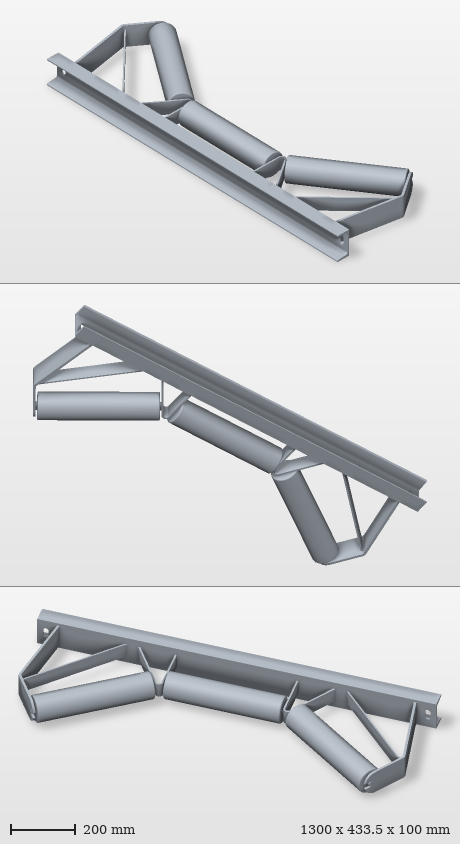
import cadquery as cq
import math


CHANNEL_LENGTH = 1300.0
CHANNEL_HEIGHT = 100.0
CHANNEL_WIDTH = 50.0
WEB_THICKNESS = 6.0
FLANGE_THICKNESS = 8.5
FLANGE_TAPER = 0.08
ROOT_RADIUS = 8.5
TOE_RADIUS = 4.5
MOUNT_SLOT_WIDTH = 18.0
MOUNT_SLOT_HEIGHT = 38.0
MOUNT_SLOT_END_DISTANCE = 28.0

ROLLER_RADIUS = 44.45
ROLLER_LENGTH = 380.0
ROLLER_EDGE_RADIUS = 4.0
AXLE_DEPTH = 28.0
AXLE_WIDTH = 20.0
CENTER_ROLLER_Y = 115.4
TROUGH_ANGLE = 35.0
WING_ROLLER_X = 391.8
WING_ROLLER_TOP = 383.49

OUTER_PLATE_THICKNESS = 8.0
INNER_PLATE_THICKNESS = 6.0
OUTER_PLATE_HEIGHT = 82.0
INNER_PLATE_HEIGHT = 50.0
ROLLER_GAP = 5.0
RIDGE_INNER_RADIUS = 9.0
OUTER_BEND_INNER_RADIUS = 8.0
OUTER_FOOT_X = 585.0
OUTER_LEG_ANGLE = 10.0
TIP_CENTER_DROP = 10.0

STRUT_THICKNESS = 5.0
STRUT_HEIGHT = 50.0
STRUT_FOOT_X = 358.0
STRUT_ANGLE = 45.0

SIDES = (-1, 1)
COS_TROUGH = math.cos(math.radians(TROUGH_ANGLE))
SIN_TROUGH = math.sin(math.radians(TROUGH_ANGLE))
LEG_SLOPE = math.tan(math.radians(OUTER_LEG_ANGLE))
PLATE_NEAR = ROLLER_LENGTH / 2 + ROLLER_GAP
INNER_PLATE_FAR = PLATE_NEAR + INNER_PLATE_THICKNESS
OUTER_PLATE_FAR = PLATE_NEAR + OUTER_PLATE_THICKNESS
RIM_ALONG = ROLLER_LENGTH / 2 - ROLLER_EDGE_RADIUS
RIM_ACROSS = ROLLER_RADIUS - ROLLER_EDGE_RADIUS
WING_ROLLER_Y = WING_ROLLER_TOP - ROLLER_EDGE_RADIUS - RIM_ALONG * SIN_TROUGH - RIM_ACROSS * COS_TROUGH


def wing_point(along, across):
    """XY point given along the +X wing roller axis (outward) and square to it (upward)."""
    x = WING_ROLLER_X + along * COS_TROUGH - across * SIN_TROUGH
    y = WING_ROLLER_Y + along * SIN_TROUGH + across * COS_TROUGH
    return x, y


def plate_x(along, y):
    """X at height y on the plane square to the +X wing roller axis at distance along."""
    x_on_axis, y_on_axis = wing_point(along, 0)
    return x_on_axis - (y - y_on_axis) * SIN_TROUGH / COS_TROUGH


def plate_y(along, x):
    """Height at position x on the same plane."""
    x_on_axis, y_on_axis = wing_point(along, 0)
    return y_on_axis - (x - x_on_axis) * COS_TROUGH / SIN_TROUGH


def place_on_wing(shape):
    """Move a shape built about the origin along X onto the +X wing roller axis."""
    return shape.rotate((0, 0, 0), (0, 0, 1), TROUGH_ANGLE).translate((WING_ROLLER_X, WING_ROLLER_Y, 0))


def place_on_center(shape):
    return shape.translate((0, CENTER_ROLLER_Y, 0))


def on_side(shape, side):
    """Copy of a +X side shape, mirrored when side is -1."""
    return shape if side > 0 else shape.mirror("YZ")


def round_edge(body, point, radius):
    """Fillet the Z-parallel edge that passes through an XY point."""
    return body.edges(cq.selectors.NearestToPointSelector((*point, 0))).fillet(radius)


def make_channel():
    half_height = CHANNEL_HEIGHT / 2
    taper_rise = FLANGE_TAPER * CHANNEL_WIDTH / 2
    toe_z = half_height - FLANGE_THICKNESS + taper_rise
    root_z = half_height - FLANGE_THICKNESS - taper_rise + FLANGE_TAPER * WEB_THICKNESS
    section = [
        (0, -half_height),
        (0, half_height),
        (-CHANNEL_WIDTH, half_height),
        (-CHANNEL_WIDTH, toe_z),
        (-WEB_THICKNESS, root_z),
        (-WEB_THICKNESS, -root_z),
        (-CHANNEL_WIDTH, -toe_z),
        (-CHANNEL_WIDTH, -half_height),
    ]
    channel = cq.Workplane("YZ").polyline(section).close().extrude(CHANNEL_LENGTH / 2, both=True)
    for z_sign in SIDES:
        channel = channel.edges(
            cq.selectors.NearestToPointSelector((0, -WEB_THICKNESS, z_sign * root_z))
        ).fillet(ROOT_RADIUS)
        channel = channel.edges(
            cq.selectors.NearestToPointSelector((0, -CHANNEL_WIDTH, z_sign * toe_z))
        ).fillet(TOE_RADIUS)

    slot_x = CHANNEL_LENGTH / 2 - MOUNT_SLOT_END_DISTANCE
    slots = (
        cq.Workplane("XZ")
        .pushPoints([(side * slot_x, 0) for side in SIDES])
        .slot2D(MOUNT_SLOT_HEIGHT, MOUNT_SLOT_WIDTH, 90)
        .extrude(WEB_THICKNESS)
    )
    return channel.cut(slots)


def make_axle(start, end):
    """Oblong axle along X."""
    section = cq.Workplane("YZ", origin=(start, 0, 0)).slot2D(AXLE_DEPTH, AXLE_WIDTH)
    return section.extrude(end - start)


def make_roller(axle):
    """Roller along X about the origin, in one piece with its axle."""
    shell = cq.Workplane("YZ", origin=(-ROLLER_LENGTH / 2, 0, 0)).circle(ROLLER_RADIUS).extrude(ROLLER_LENGTH)
    return shell.edges("%CIRCLE").fillet(ROLLER_EDGE_RADIUS).union(axle)


CENTER_AXLE = make_axle(-INNER_PLATE_FAR, INNER_PLATE_FAR)
WING_AXLE = make_axle(-INNER_PLATE_FAR, OUTER_PLATE_FAR)


def make_inner_bracket():
    """Folded plate between the centre roller and the +X wing roller."""
    outer_ridge = (PLATE_NEAR, plate_y(-PLATE_NEAR, PLATE_NEAR))
    inner_ridge = (INNER_PLATE_FAR, plate_y(-INNER_PLATE_FAR, INNER_PLATE_FAR))
    profile = [
        (PLATE_NEAR, 0),
        outer_ridge,
        (plate_x(-PLATE_NEAR, 0), 0),
        (plate_x(-INNER_PLATE_FAR, 0), 0),
        inner_ridge,
        (INNER_PLATE_FAR, 0),
    ]
    bracket = cq.Workplane("XY").polyline(profile).close().extrude(INNER_PLATE_HEIGHT / 2, both=True)
    bracket = round_edge(bracket, inner_ridge, RIDGE_INNER_RADIUS)
    bracket = round_edge(bracket, outer_ridge, RIDGE_INNER_RADIUS + INNER_PLATE_THICKNESS)
    return bracket.cut(place_on_center(CENTER_AXLE)).cut(place_on_wing(WING_AXLE))


def leg_corner(along, foot_x):
    """Where the leaning leg face from foot_x meets the upper arm face at distance along."""
    arm_slope = SIN_TROUGH / COS_TROUGH
    y = (plate_x(along, 0) - foot_x) / (LEG_SLOPE + arm_slope)
    return foot_x + y * LEG_SLOPE, y


INNER_FOOT_X = OUTER_FOOT_X - OUTER_PLATE_THICKNESS / math.cos(math.radians(OUTER_LEG_ANGLE))
OUTER_CORNER = leg_corner(OUTER_PLATE_FAR, OUTER_FOOT_X)
INNER_CORNER = leg_corner(PLATE_NEAR, INNER_FOOT_X)


def make_tip_envelope():
    """Slab with a round top edge that shapes the end of the upper arm."""
    reach = CHANNEL_LENGTH
    half_height = OUTER_PLATE_HEIGHT / 2
    slab = (
        cq.Workplane("YZ")
        .moveTo(-TIP_CENTER_DROP, -half_height)
        .threePointArc((half_height - TIP_CENTER_DROP, 0), (-TIP_CENTER_DROP, half_height))
        .lineTo(-reach, half_height)
        .lineTo(-reach, -half_height)
        .close()
        .extrude(reach, both=True)
    )
    return place_on_wing(slab)


def make_outer_bracket():
    """Bent plate that carries the outer end of the +X wing roller."""
    tip_across = OUTER_PLATE_HEIGHT / 2 - TIP_CENTER_DROP
    profile = [
        (OUTER_FOOT_X, 0),
        OUTER_CORNER,
        wing_point(OUTER_PLATE_FAR, tip_across),
        wing_point(PLATE_NEAR, tip_across),
        INNER_CORNER,
        (INNER_FOOT_X, 0),
    ]
    bracket = cq.Workplane("XY").polyline(profile).close().extrude(OUTER_PLATE_HEIGHT / 2, both=True)
    bracket = round_edge(bracket, INNER_CORNER, OUTER_BEND_INNER_RADIUS)
    bracket = round_edge(bracket, OUTER_CORNER, OUTER_BEND_INNER_RADIUS + OUTER_PLATE_THICKNESS)
    opening = (
        cq.Workplane("XY")
        .box(2 * OUTER_PLATE_FAR, OUTER_PLATE_HEIGHT, AXLE_WIDTH)
        .translate((0, OUTER_PLATE_HEIGHT / 2, 0))
    )
    return bracket.intersect(make_tip_envelope()).cut(place_on_wing(WING_AXLE.union(opening)))


def make_strut(outer_bracket):
    """Flat diagonal from the channel to the inside of the +X outer bracket bend."""
    slope = math.tan(math.radians(STRUT_ANGLE))
    width_at_foot = STRUT_THICKNESS / math.sin(math.radians(STRUT_ANGLE))
    top_y = (OUTER_CORNER[0] - STRUT_FOOT_X) * slope
    profile = [
        (STRUT_FOOT_X, 0),
        (OUTER_CORNER[0], top_y),
        (OUTER_CORNER[0] + width_at_foot, top_y),
        (STRUT_FOOT_X + width_at_foot, 0),
    ]
    strut = cq.Workplane("XY").polyline(profile).close().extrude(STRUT_HEIGHT / 2, both=True)
    pieces = strut.cut(outer_bracket).solids().vals()
    inside = min(pieces, key=lambda piece: piece.Center().x)
    return cq.Workplane("XY").newObject([inside])


channel = make_channel()
center_roller = place_on_center(make_roller(CENTER_AXLE))
wing_roller = place_on_wing(make_roller(WING_AXLE))
inner_bracket = make_inner_bracket()
outer_bracket = make_outer_bracket()
strut = make_strut(outer_bracket)

bodies = [channel.val(), center_roller.val()]
for side in SIDES:
    for part in (wing_roller, inner_bracket, outer_bracket, strut):
        bodies.append(on_side(part, side).val())

result = cq.Compound.makeCompound(bodies)